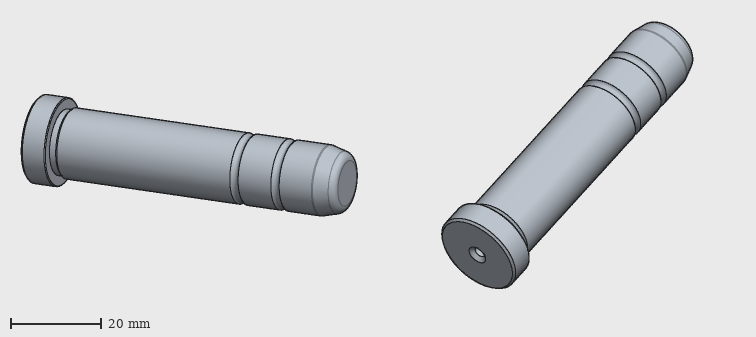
import cadquery as cq
import math

total_length = 75.0
head_radius = 10.01
head_length = 6.0
shaft_radius = 8.0
head_front_chamfer = 0.5
head_rear_chamfer = 0.2

neck_radius = 7.5
neck_end = 8.0
neck_chamfer = shaft_radius - neck_radius

groove_starts = (50.0, 60.0)
groove_width = 2.0
groove_depth = 0.7

taper_start = 70.0
taper_angle = math.radians(15)
taper_blend_radius = 1.0
edge_search_margin = 0.1
tip_radius = 2.0

hole_radius = 1.3
hole_depth = 3.75
countersink_radius = 2.25
countersink_angle = math.radians(90)
drill_point_angle = math.radians(118)


def revolve_about_x(profile):
    """Close an X-radius profile and turn it about the X axis."""
    return profile.close().revolve(360, (0, 0, 0), (1, 0, 0))


def make_body():
    """Head, neck, shaft and tapered tip, with the tip edges rounded."""
    tip_face_radius = shaft_radius - (total_length - taper_start) * math.tan(taper_angle)
    body = revolve_about_x(
        cq.Workplane("XY")
        .moveTo(0, 0)
        .lineTo(0, head_radius - head_front_chamfer)
        .lineTo(head_front_chamfer, head_radius)
        .lineTo(head_length - head_rear_chamfer, head_radius)
        .lineTo(head_length, head_radius - head_rear_chamfer)
        .lineTo(head_length, neck_radius)
        .lineTo(neck_end - neck_chamfer, neck_radius)
        .lineTo(neck_end, shaft_radius)
        .lineTo(taper_start, shaft_radius)
        .lineTo(total_length, tip_face_radius)
        .lineTo(total_length, 0)
    )
    body = body.faces(">X").edges().fillet(tip_radius)
    taper_edge = cq.selectors.BoxSelector(
        (taper_start - edge_search_margin, -head_radius, -head_radius),
        (taper_start + edge_search_margin, head_radius, head_radius),
    )
    return body.edges(taper_edge).fillet(taper_blend_radius)


def make_groove(start):
    """Ring groove with a shallow arc section."""
    return revolve_about_x(
        cq.Workplane("XY")
        .moveTo(start, shaft_radius)
        .threePointArc(
            (start + groove_width / 2, shaft_radius - groove_depth),
            (start + groove_width, shaft_radius),
        )
    )


def make_centre_hole():
    """Countersunk blind hole with a conical drill point."""
    countersink_depth = (countersink_radius - hole_radius) / math.tan(countersink_angle / 2)
    point_length = hole_radius / math.tan(drill_point_angle / 2)
    return revolve_about_x(
        cq.Workplane("XY")
        .moveTo(0, 0)
        .lineTo(0, countersink_radius)
        .lineTo(countersink_depth, hole_radius)
        .lineTo(hole_depth, hole_radius)
        .lineTo(hole_depth + point_length, 0)
    )


result = make_body().cut(make_centre_hole())
for groove_start in groove_starts:
    result = result.cut(make_groove(groove_start))